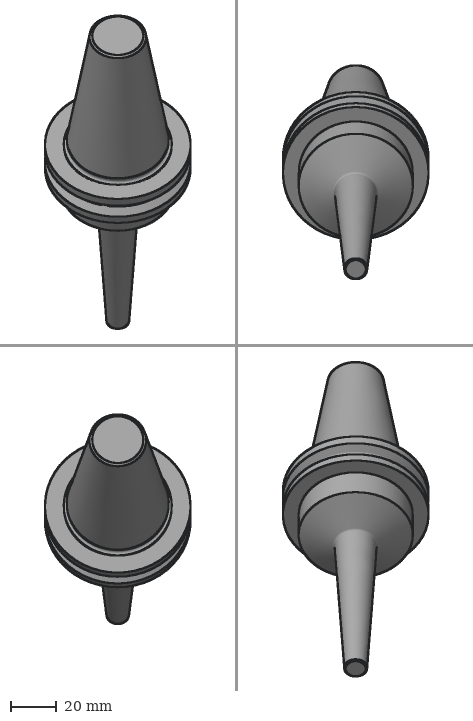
import cadquery as cq
import math

total_length = 188.4
gauge_z = 120.0
flange_top_z = 116.8
flange_thickness = 15.8
flange_bottom_z = flange_top_z - flange_thickness
collar_bottom_z = 88.0
nose_top_z = 80.6

gauge_radius = 22.2
taper_slope = 7 / 48
shank_chamfer_width = 1.1
shank_chamfer_height = 0.8
gauge_land_height = 0.4
neck_radius = 21.7
neck_root_fillet = 1.0
neck_top_z = 118.7
recess_radius = 23.5
recess_depth = 0.5

flange_radius = 31.75
groove_floor_radius = 28.0
groove_center_z = 108.7
groove_floor_width = 3.0
groove_fillet = 0.5
groove_half_angle = math.radians(30)

collar_radius = 24.9
tip_radius = 10.0 / 2
nose_angle = math.radians(3)
nose_root_fillet = 1.1
tip_chamfer = 0.5

recess_floor_z = flange_top_z - recess_depth
shank_end_radius = gauge_radius - (total_length - gauge_z) * taper_slope
nose_root_radius = tip_radius + nose_top_z * math.tan(nose_angle)
groove_floor_half = groove_floor_width / 2
groove_mouth_half = (
    groove_floor_half + (flange_radius - groove_floor_radius) * math.tan(groove_half_angle)
)
selection_margin = 0.1


def revolve_profile(points):
    """Revolve a closed (radius, Z) outline about the Z axis."""
    return cq.Workplane("XZ").polyline(points).close().revolve(360, (0, 0, 0), (0, 1, 0))


def circle_selector(radius, z):
    """Select the horizontal circle of this radius and height about the Z axis."""
    reach = radius + selection_margin
    return cq.selectors.BoxSelector(
        (-reach, -reach, z - selection_margin),
        (reach, reach, z + selection_margin),
        boundingbox=True,
    )


def make_shank():
    shank = revolve_profile([
        (0, recess_floor_z),
        (neck_radius, recess_floor_z),
        (neck_radius, neck_top_z),
        (gauge_radius, gauge_z - gauge_land_height),
        (gauge_radius, gauge_z),
        (shank_end_radius, total_length),
        (0, total_length),
    ])
    return shank.faces(">Z").edges().chamfer(shank_chamfer_height, shank_chamfer_width)


def make_flange():
    flange = (
        cq.Workplane("XY", origin=(0, 0, flange_bottom_z))
        .circle(flange_radius)
        .extrude(flange_thickness)
    )
    groove = revolve_profile([
        (groove_floor_radius, groove_center_z - groove_floor_half),
        (flange_radius, groove_center_z - groove_mouth_half),
        (flange_radius, groove_center_z + groove_mouth_half),
        (groove_floor_radius, groove_center_z + groove_floor_half),
    ])
    groove = groove.edges(cq.selectors.RadiusNthSelector(0)).fillet(groove_fillet)
    recess = (
        cq.Workplane("XY", origin=(0, 0, flange_top_z))
        .circle(recess_radius)
        .extrude(-recess_depth)
    )
    return flange.cut(groove).cut(recess)


def make_collar_and_nose():
    body = revolve_profile([
        (0, 0),
        (tip_radius, 0),
        (nose_root_radius, nose_top_z),
        (collar_radius, collar_bottom_z),
        (collar_radius, flange_bottom_z),
        (0, flange_bottom_z),
    ])
    body = body.edges(circle_selector(nose_root_radius, nose_top_z)).fillet(nose_root_fillet)
    return body.faces("<Z").edges().chamfer(tip_chamfer)


body = make_flange().union(make_shank()).union(make_collar_and_nose())
result = body.edges(circle_selector(neck_radius, recess_floor_z)).fillet(neck_root_fillet)